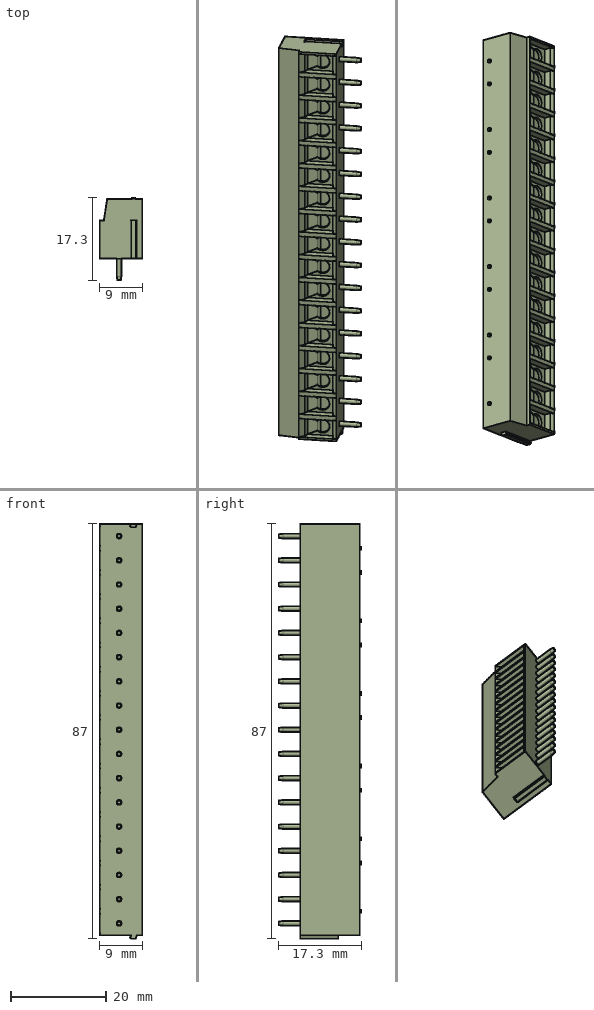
import cadquery as cq

cell_count = 17
body_width = 9.0
body_depth = 12.5
body_height = 86.35
pitch = body_height / cell_count

shelf_y = 8.0
lean_bottom_x = 0.9
lean_top_x = 1.6

recess_height = 4.1
recess_depth = 2.0
recess_front_y = 0.8
recess_rear_y = 6.4
front_lip_depth = 0.4
rear_bend_x = 0.9
rear_bend_y = 6.9

mouth_depth = 0.1
throat_y = 4.4
throat_width = 2.3
hole_y = 3.3
hole_diameter = 3.05
hole_radius = hole_diameter / 2
hole_depth = 0.7
ramp_end_y = 3.7

pin_x = 4.1
pin_radius = 0.5
pin_length = 4.5
pin_tip_length = 0.9
pin_tip_radius = 0.39

peg_x = 7.1
peg_radius = 0.35
peg_length = 0.3
peg_cycle = 3
peg_gap = 1

rail_left_x = 6.6
rail_right_x = 7.8
rail_height = 0.7
hook_reach = 0.3
hook_bevel = 0.3
rail_right_taper = 0.3

cell_centers = [(i + 0.5) * pitch for i in range(cell_count)]
cell_borders = [z + pitch / 2 for z in cell_centers[:-1]]


def make_body():
    profile = [
        (0, 0),
        (body_width, 0),
        (body_width, body_depth),
        (lean_top_x, body_depth),
        (lean_bottom_x, shelf_y),
        (0, shelf_y),
    ]
    return cq.Workplane("XY").polyline(profile).close().extrude(body_height)


def make_recess(z):
    profile = [
        (0, 0),
        (front_lip_depth, recess_front_y),
        (recess_depth, recess_front_y),
        (recess_depth, recess_rear_y),
        (rear_bend_x, rear_bend_y),
        (0, shelf_y),
    ]
    bottom = cq.Workplane("XY", origin=(0, 0, z - recess_height / 2))
    return bottom.polyline(profile).close().extrude(recess_height)


def make_funnel(z):
    mouth_x = recess_depth + mouth_depth
    hole_x = recess_depth + hole_depth
    hole_front_y = hole_y - hole_radius
    profile = (
        cq.Workplane("XY", origin=(0, 0, z - recess_height / 2))
        .moveTo(recess_depth, recess_rear_y)
        .lineTo(mouth_x, recess_rear_y)
        .lineTo(mouth_x, throat_y)
        .tangentArcPoint((hole_x, ramp_end_y), relative=False)
        .lineTo(hole_x, hole_front_y)
        .lineTo(recess_depth, hole_front_y)
        .close()
        .extrude(recess_height)
    )
    mouth_outline = [
        (recess_rear_y, -recess_height / 2),
        (recess_rear_y, recess_height / 2),
        (throat_y, throat_width / 2),
        (throat_y, -throat_width / 2),
    ]
    wall = cq.Workplane("YZ", origin=(recess_depth, 0, z))
    mouth = wall.polyline(mouth_outline).close().extrude(hole_depth)
    hole = wall.center(hole_y, 0).circle(hole_radius).extrude(hole_depth)
    return profile.intersect(mouth.union(hole))


def make_pin(z):
    return (
        cq.Workplane("XZ", origin=(pin_x, 0, z))
        .circle(pin_radius)
        .extrude(pin_length)
        .faces("<Y")
        .chamfer(pin_tip_length, pin_radius - pin_tip_radius)
    )


def make_peg(z):
    return cq.Workplane("XZ", origin=(peg_x, body_depth, z)).circle(peg_radius).extrude(-peg_length)


def make_rail(z):
    hook_x = rail_left_x - hook_reach
    profile = [
        (rail_left_x, 0),
        (rail_right_x, 0),
        (rail_right_x - rail_right_taper, -rail_height),
        (hook_x + hook_bevel, -rail_height),
        (hook_x, hook_bevel - rail_height),
    ]
    return cq.Workplane("XZ", origin=(0, 0, z)).polyline(profile).close().extrude(-shelf_y)


result = make_body()
for z in cell_centers:
    result = result.cut(make_recess(z)).cut(make_funnel(z)).union(make_pin(z))
for i, z in enumerate(cell_borders):
    if i % peg_cycle != peg_gap:
        result = result.union(make_peg(z))
result = result.cut(make_rail(body_height)).union(make_rail(0))